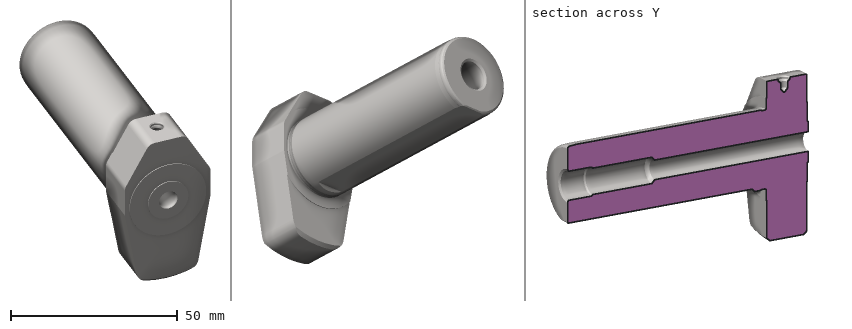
import cadquery as cq
import math

total_length = 85.0

shaft_radius = 25.4 / 2
end_face_radius = 12.15
end_face_chamfer = 0.3
end_round_length = 1.6
end_round_radius = 12.6
end_round_mid = (0.7, 12.5)
lead_in_end = 3.15
neck_radius = 25.0 / 2
neck_slope_start = 68.0
neck_start = 68.8
neck_end = 69.6
flat_depth_from_axis = 11.8
flat_end = 65.1
flat_runout = shaft_radius - flat_depth_from_axis

head_start = 70.3
head_end = 84.5
head_half_width = 28.0 / 2
head_top = 21.4
head_tip_radius = 29.1
top_half_width = 5.95
top_slope = math.radians(30)
side_bottom = -2.2
side_taper = math.radians(10)
shoulder_round = 3.0
tip_round = 5.1
tip_chamfer = 1.0

front_pad_radius = 16.15
front_pad_start = 70.0
rear_pad_radius = 25.0 / 2
rear_pad_end = 84.75
rear_boss_radius = 6.55

mouth_radius = 10.45 / 2
entry_radius = 9.0 / 2
mouth_depth = 0.4
entry_depth = 8.5
middle_radius = 8.2 / 2
middle_depth = 29.75
through_radius = 6.0 / 2

top_hole_x = 76.4
top_hole_mouth_radius = 4.6 / 2
top_hole_radius = 4.0 / 2
top_hole_step_depth = 0.85
top_hole_inner_radius = 3.3 / 2
top_hole_core_radius = 2.3 / 2
top_hole_depth = 3.4


def disc(radius, start, end):
    """Cylinder about the X axis between two X positions."""
    return cq.Workplane("YZ").workplane(offset=start).circle(radius).extrude(end - start)


def revolve_about_x(profile):
    return profile.close().revolve(360, (0, 0, 0), (1, 0, 0))


def make_shaft():
    shaft = revolve_about_x(
        cq.Workplane("XY")
        .lineTo(0, end_face_radius)
        .threePointArc(end_round_mid, (end_round_length, end_round_radius))
        .lineTo(lead_in_end, shaft_radius)
        .lineTo(neck_slope_start, shaft_radius)
        .lineTo(neck_start, neck_radius)
        .lineTo(neck_end, neck_radius)
        .lineTo(front_pad_start, shaft_radius)
        .lineTo(head_end, shaft_radius)
        .lineTo(head_end, 0)
    )
    flat_cut = (
        cq.Workplane("XZ")
        .moveTo(0, -flat_depth_from_axis)
        .lineTo(flat_end, -flat_depth_from_axis)
        .lineTo(flat_end + flat_runout, -shaft_radius)
        .lineTo(0, -shaft_radius)
        .close()
        .extrude(shaft_radius, both=True)
    )
    return shaft.cut(flat_cut).faces("<X").edges().chamfer(end_face_chamfer)


def head_prism(start, end):
    """Head outline, still with a square tip, between two X positions."""
    shoulder_z = head_top - (head_half_width - top_half_width) / math.tan(top_slope)
    tip_half_width = head_half_width - (side_bottom + head_tip_radius) * math.tan(side_taper)
    right_side = [
        (top_half_width, head_top),
        (head_half_width, shoulder_z),
        (head_half_width, side_bottom),
        (tip_half_width, -head_tip_radius),
    ]
    left_side = [(-y, z) for y, z in reversed(right_side)]
    prism = (
        cq.Workplane("YZ")
        .workplane(offset=start)
        .polyline(right_side + left_side)
        .close()
        .extrude(end - start)
    )
    upper_edges = cq.selectors.BoxSelector(
        (start, -head_top, 0), (end, head_top, 2 * head_top)
    )
    return prism.edges("|X").edges(upper_edges).fillet(shoulder_round)


def make_head():
    head = head_prism(head_start, head_end)
    head = head.intersect(disc(head_tip_radius, head_start, head_end))
    tip_corners = cq.selectors.BoxSelector(
        (head_start, -head_half_width, -head_tip_radius),
        (head_end, head_half_width, -head_top),
    )
    head = head.edges("|X").edges(tip_corners).fillet(tip_round)
    chamfered_disc = disc(head_tip_radius, head_start, head_end).edges().chamfer(tip_chamfer)
    head = head.intersect(chamfered_disc)

    front_pad = disc(front_pad_radius, front_pad_start, head_start)
    front_pad = front_pad.intersect(head_prism(front_pad_start, head_start))
    rear_pad = disc(rear_pad_radius, head_end, rear_pad_end)
    rear_boss = disc(rear_boss_radius, rear_pad_end, total_length)
    return head.union(front_pad).union(rear_pad).union(rear_boss)


def make_bore():
    return revolve_about_x(
        cq.Workplane("XY")
        .lineTo(0, mouth_radius)
        .lineTo(mouth_depth, entry_radius)
        .lineTo(entry_depth, entry_radius)
        .lineTo(entry_depth + entry_radius - middle_radius, middle_radius)
        .lineTo(middle_depth, middle_radius)
        .lineTo(middle_depth + middle_radius - through_radius, through_radius)
        .lineTo(total_length, through_radius)
        .lineTo(total_length, 0)
    )


def make_top_hole():
    inner_taper = top_hole_inner_radius - top_hole_core_radius
    mouth_chamfer = top_hole_mouth_radius - top_hole_radius
    cutter = (
        cq.Workplane("XZ")
        .lineTo(top_hole_mouth_radius, 0)
        .lineTo(top_hole_radius, -mouth_chamfer)
        .lineTo(top_hole_radius, -top_hole_step_depth)
        .lineTo(top_hole_inner_radius, -top_hole_step_depth)
        .lineTo(top_hole_core_radius, -top_hole_step_depth - inner_taper)
        .lineTo(top_hole_core_radius, -top_hole_depth)
        .lineTo(0, -top_hole_depth - top_hole_core_radius)
        .close()
        .revolve(360, (0, 0, 0), (0, 1, 0))
    )
    return cutter.translate((top_hole_x, 0, head_top))


result = make_shaft().union(make_head()).cut(make_bore()).cut(make_top_hole())